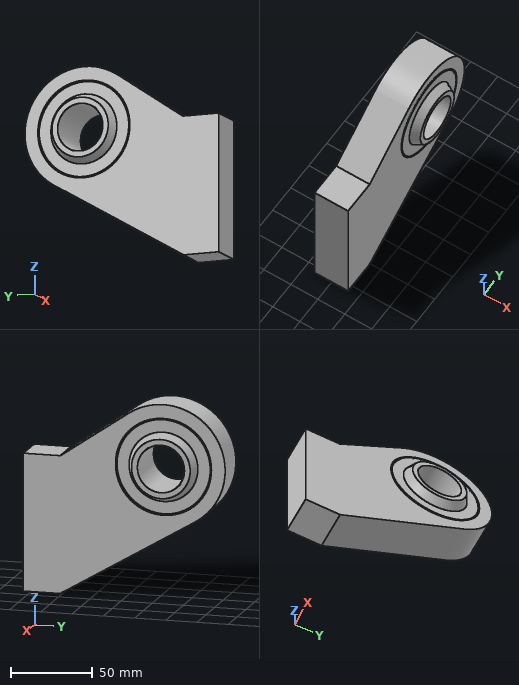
import cadquery as cq
import math

plate_thickness = 25.0
eye_radius = 39.5
eye_y = 90.0
eye_z = 85.0
foot_depth = 24.0
foot_height = 87.7

race_diameter = 60.0
seat_chamfer = 0.8
ball_width = 37.0
ball_end_diameter = 37.5
ball_face_diameter = 44.0
bore_diameter = 30.0

half_plate = plate_thickness / 2
half_ball = ball_width / 2


def tangent_point(corner_y, corner_z, side):
    """Point where a line from the corner touches the eye; side is +1 or -1."""
    dy = corner_y - eye_y
    dz = corner_z - eye_z
    angle = math.atan2(dz, dy) + side * math.acos(eye_radius / math.hypot(dy, dz))
    return eye_y + eye_radius * math.cos(angle), eye_z + eye_radius * math.sin(angle)


def make_plate():
    """Flat bracket: rectangular foot joined to the round eye by two tangent lines."""
    upper_tangent = tangent_point(foot_depth, foot_height, -1)
    lower_tangent = tangent_point(foot_depth, 0, 1)
    return (
        cq.Workplane("YZ")
        .workplane(offset=-half_plate)
        .moveTo(0, 0)
        .lineTo(0, foot_height)
        .lineTo(foot_depth, foot_height)
        .lineTo(*upper_tangent)
        .threePointArc((eye_y + eye_radius, eye_z), lower_tangent)
        .lineTo(foot_depth, 0)
        .close()
        .extrude(plate_thickness)
    )


def revolve_about_bore(profile):
    """Turn a closed (x, radius) profile about the bore axis."""
    return profile.close().revolve(360, (0, 0, 0), (1, 0, 0)).translate((0, eye_y, eye_z))


def make_seat_groove(side):
    """Chamfer of the bearing seat, a shallow groove around the race on one face."""
    race_radius = race_diameter / 2
    return revolve_about_bore(
        cq.Workplane("XY")
        .moveTo(side * half_plate, race_radius)
        .lineTo(side * half_plate, race_radius + seat_chamfer)
        .lineTo(side * (half_plate - seat_chamfer), race_radius)
    )


def make_ball():
    """Inner ring with domed shoulders standing out of both faces."""
    end_radius = ball_end_diameter / 2
    face_radius = ball_face_diameter / 2
    return revolve_about_bore(
        cq.Workplane("XY")
        .moveTo(-half_ball, 0)
        .lineTo(-half_ball, end_radius)
        .lineTo(-half_plate, face_radius)
        .lineTo(half_plate, face_radius)
        .lineTo(half_ball, end_radius)
        .lineTo(half_ball, 0)
    )


bore = (
    cq.Workplane("YZ")
    .workplane(offset=-half_ball)
    .center(eye_y, eye_z)
    .circle(bore_diameter / 2)
    .extrude(ball_width)
)

result = make_plate().union(make_ball()).cut(bore)
for face_side in (-1, 1):
    result = result.cut(make_seat_groove(face_side))